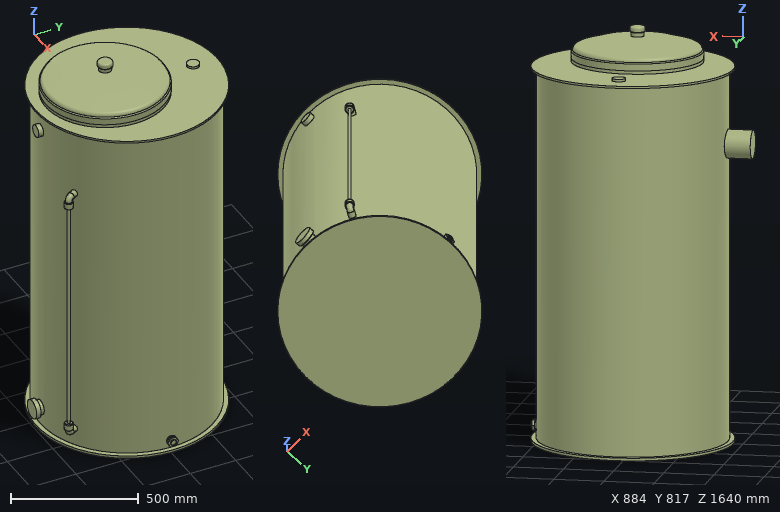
import cadquery as cq
import math

TOTAL_HEIGHT = 1640.0
TANK_DIAMETER = 760.0
TANK_RADIUS = TANK_DIAMETER / 2
PLATE_DIAMETER = 800.0
BASE_PLATE_THICKNESS = 11.0
TOP_PLATE_THICKNESS = 8.0
TANK_HEIGHT = 1499.0

INLET_DIAMETER = 115.0
INLET_END_X = -479.0
INLET_HEIGHT = 1202.0

PORT_DIAMETER = 52.0
FRONT_PORT_HEIGHT = 1400.0
FRONT_PORT_REACH = PLATE_DIAMETER / 2
TOP_PORT_Y = 292.0
TOP_PORT_RISE = 10.0
OUTLET_NECK_DIAMETER = 62.0
OUTLET_RIM_DIAMETER = 80.0
OUTLET_HEIGHT = 90.0
OUTLET_REACH = 417.0
OUTLET_RIM_THICKNESS = 20.0

LID_Y = -95.0
LID_DIAMETER = 520.0
LID_RADIUS = LID_DIAMETER / 2
LID_FRAME_HEIGHT = 13.0
LID_RIM_TOP = 1540.0
LID_STEP = 5.0
DOME_EDGE_RADIUS = 236.0
DOME_EDGE_HEIGHT = 1563.0
DOME_TOP = 1599.0
DOME_FLAT_DIAMETER = 80.0
DOME_MIDWAY_RISE = 0.75

VENT_NECK_DIAMETER = 52.0
VENT_CAP_DIAMETER = 62.0
VENT_CAP_BOTTOM = 1615.0
VENT_CAP_CHAMFER = 3.0
VENT_CAP_ROUNDING = 10.0

PLUG_HEIGHT = 48.0
PLUG_BODY_DIAMETER = 36.0
PLUG_HEX_ACROSS_CORNERS = 48.0
PLUG_HEX_START_X = 389.0
PLUG_HEX_END_X = 400.0
PLUG_TIP_DIAMETER = 25.0
PLUG_TIP_END_X = 405.0

GAUGE_ANGLE = -59.8
GAUGE_RADIUS = 420.0
GAUGE_TUBE_DIAMETER = 12.0
SPIGOT_DIAMETER = 30.0
ELBOW_DIAMETER = 28.0
ELBOW_BEND_RADIUS = 16.0
LOWER_ELBOW_HEIGHT = 90.0
UPPER_ELBOW_HEIGHT = 1200.0
SLEEVE_DIAMETER = 36.0
SLEEVE_LENGTH = 31.0
SLEEVE_CHAMFER = 3.0


def upright_cylinder(diameter, bottom, top, y=0.0):
    """Solid cylinder along Z between two heights."""
    return cq.Workplane("XY", origin=(0, y, bottom)).circle(diameter / 2).extrude(top - bottom)


def front_cylinder(diameter, height, reach, start=0.0):
    """Solid cylinder along -Y, from `start` to `reach` away from the tank axis."""
    return cq.Workplane("XZ", origin=(0, -start, height)).circle(diameter / 2).extrude(reach - start)


def make_tank():
    """Closed upright vessel with its end plates, inlet, ports, outlet and lid frame."""
    top_plate_bottom = TANK_HEIGHT - TOP_PLATE_THICKNESS
    base_plate = upright_cylinder(PLATE_DIAMETER, 0, BASE_PLATE_THICKNESS)
    shell = upright_cylinder(TANK_DIAMETER, BASE_PLATE_THICKNESS, top_plate_bottom)
    top_plate = upright_cylinder(PLATE_DIAMETER, top_plate_bottom, TANK_HEIGHT)
    inlet = cq.Workplane("YZ", origin=(0, 0, INLET_HEIGHT)).circle(INLET_DIAMETER / 2).extrude(INLET_END_X)
    front_port = front_cylinder(PORT_DIAMETER, FRONT_PORT_HEIGHT, FRONT_PORT_REACH)
    top_port = upright_cylinder(PORT_DIAMETER, TANK_HEIGHT, TANK_HEIGHT + TOP_PORT_RISE, TOP_PORT_Y)
    outlet_neck = front_cylinder(OUTLET_NECK_DIAMETER, OUTLET_HEIGHT, OUTLET_REACH)
    outlet_rim = front_cylinder(
        OUTLET_RIM_DIAMETER, OUTLET_HEIGHT, OUTLET_REACH, OUTLET_REACH - OUTLET_RIM_THICKNESS
    )
    lid_frame = upright_cylinder(LID_DIAMETER, TANK_HEIGHT, TANK_HEIGHT + LID_FRAME_HEIGHT, LID_Y)
    vessel = shell.union(base_plate).union(top_plate)
    fittings = (inlet, front_port, top_port, outlet_neck, outlet_rim, lid_frame)
    for fitting in fittings:
        vessel = vessel.union(fitting)
    return vessel


def make_lid():
    """Round lid: a straight bevelled rim, a rounded shoulder and a shallow dome with a flat centre."""
    shoulder_radius = LID_RADIUS - LID_STEP
    shoulder_bottom = LID_RIM_TOP + LID_STEP
    flat_radius = DOME_FLAT_DIAMETER / 2
    dome_rise = DOME_TOP - DOME_EDGE_HEIGHT
    dome_middle = ((DOME_EDGE_RADIUS + flat_radius) / 2, DOME_EDGE_HEIGHT + DOME_MIDWAY_RISE * dome_rise)
    diagonal = math.sqrt(0.5)
    shoulder_middle = (
        DOME_EDGE_RADIUS + diagonal * (shoulder_radius - DOME_EDGE_RADIUS),
        shoulder_bottom + diagonal * (DOME_EDGE_HEIGHT - shoulder_bottom),
    )
    profile = (
        cq.Workplane("XZ", origin=(0, LID_Y, 0))
        .moveTo(0, TANK_HEIGHT + LID_FRAME_HEIGHT)
        .lineTo(LID_RADIUS, TANK_HEIGHT + LID_FRAME_HEIGHT)
        .lineTo(LID_RADIUS, LID_RIM_TOP)
        .lineTo(shoulder_radius, shoulder_bottom)
        .threePointArc(shoulder_middle, (DOME_EDGE_RADIUS, DOME_EDGE_HEIGHT))
        .threePointArc(dome_middle, (flat_radius, DOME_TOP))
        .lineTo(0, DOME_TOP)
        .close()
    )
    return profile.revolve(360, (0, 0, 0), (0, 1, 0))


def make_vent():
    """Vent: a neck on the dome and a wider cap, bevelled below and rounded on top."""
    neck = upright_cylinder(VENT_NECK_DIAMETER, DOME_TOP, VENT_CAP_BOTTOM, LID_Y)
    cap = upright_cylinder(VENT_CAP_DIAMETER, VENT_CAP_BOTTOM, TOTAL_HEIGHT, LID_Y)
    cap = cap.faces("<Z").edges().chamfer(VENT_CAP_CHAMFER)
    cap = cap.faces(">Z").edges().fillet(VENT_CAP_ROUNDING)
    return neck.union(cap)


def make_drain_plug():
    """Round plug seated on the curved tank wall, with a hexagonal head and a round tip."""
    axis = cq.Workplane("YZ", origin=(0, 0, PLUG_HEIGHT))
    body = axis.circle(PLUG_BODY_DIAMETER / 2).extrude(PLUG_HEX_START_X)
    hexagon = (
        axis.workplane(offset=PLUG_HEX_START_X)
        .polygon(6, PLUG_HEX_ACROSS_CORNERS)
        .extrude(PLUG_HEX_END_X - PLUG_HEX_START_X)
    )
    tip = axis.circle(PLUG_TIP_DIAMETER / 2).extrude(PLUG_TIP_END_X)
    return body.union(hexagon).union(tip).cut(upright_cylinder(TANK_DIAMETER, 0, TANK_HEIGHT))


def make_elbow(height, toward_tube):
    """Elbow leaving the tank at `height`; `toward_tube` is +1 if it turns up, -1 if down."""
    bend_start = GAUGE_RADIUS - ELBOW_BEND_RADIUS
    bend_end = height + toward_tube * ELBOW_BEND_RADIUS
    diagonal = math.sqrt(0.5) * ELBOW_BEND_RADIUS
    path = (
        cq.Workplane("XZ")
        .moveTo(bend_start, height)
        .threePointArc(
            (bend_start + diagonal, bend_end - toward_tube * diagonal),
            (GAUGE_RADIUS, bend_end),
        )
    )
    spigot_start = TANK_RADIUS - SPIGOT_DIAMETER
    spigot = (
        cq.Workplane("YZ", origin=(spigot_start, 0, height))
        .circle(SPIGOT_DIAMETER / 2)
        .extrude(bend_start - spigot_start)
    )
    bend = cq.Workplane("YZ", origin=(bend_start, 0, height)).circle(ELBOW_DIAMETER / 2).sweep(path)
    sleeve = (
        cq.Workplane("XY", origin=(GAUGE_RADIUS, 0, bend_end))
        .circle(SLEEVE_DIAMETER / 2)
        .extrude(toward_tube * SLEEVE_LENGTH)
        .edges()
        .chamfer(SLEEVE_CHAMFER)
    )
    elbow = spigot.union(bend).union(sleeve).cut(upright_cylinder(TANK_DIAMETER, 0, TANK_HEIGHT))
    return elbow.rotate((0, 0, 0), (0, 0, 1), GAUGE_ANGLE)


def make_gauge_tube():
    """Straight tube filling the gap between the sleeves of the two elbows."""
    elbow_rise = ELBOW_BEND_RADIUS + SLEEVE_LENGTH
    bottom = LOWER_ELBOW_HEIGHT + elbow_rise
    top = UPPER_ELBOW_HEIGHT - elbow_rise
    tube = (
        cq.Workplane("XY", origin=(GAUGE_RADIUS, 0, bottom))
        .circle(GAUGE_TUBE_DIAMETER / 2)
        .extrude(top - bottom)
    )
    return tube.rotate((0, 0, 0), (0, 0, 1), GAUGE_ANGLE)


tank = make_tank()
lid = make_lid()
vent = make_vent()
drain_plug = make_drain_plug()
gauge_tube = make_gauge_tube()
elbows = [
    make_elbow(height, toward_tube)
    for height, toward_tube in ((LOWER_ELBOW_HEIGHT, 1), (UPPER_ELBOW_HEIGHT, -1))
]

result = cq.Compound.makeCompound(
    [
        tank.val(),
        lid.val(),
        vent.val(),
        drain_plug.val(),
        gauge_tube.val(),
        *[elbow.val() for elbow in elbows],
    ]
)